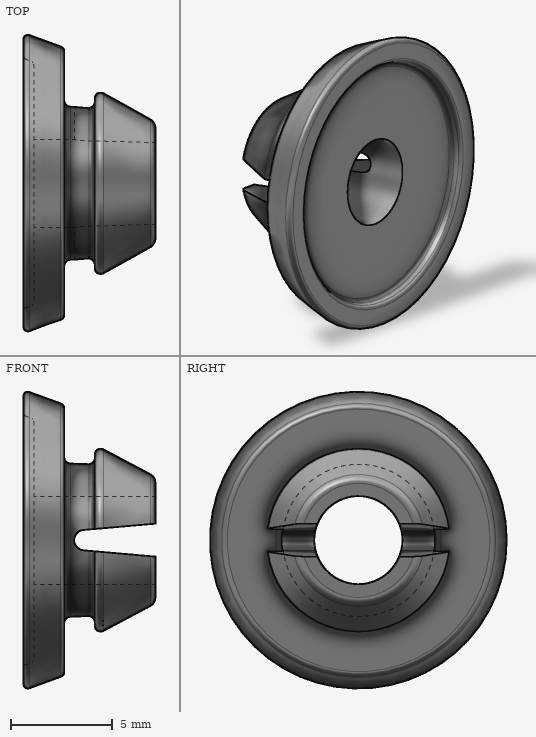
import cadquery as cq
import math

flange_radius = 7.31
flange_thickness = 2.02
draft_angle = math.radians(20)
rim_front_round = 0.22
rim_back_round = 0.29

neck_start_radius = 3.79
neck_end_radius = 3.75
neck_round = 0.29
barb_start = 3.51
barb_radius = 4.5
barb_round = 0.29
barb_angle = math.radians(28)
tip_round = 0.5
total_length = 6.5

bore_radius = 2.16
recess_mouth_radius = 6.15
recess_depth = 0.5
recess_round = 0.2

slot_start = 2.5
slot_end_radius = 0.5
slot_wall_angle = math.radians(5)


def sharp_radius(peak_radius, corner_round, angle):
    """Radius of the unrounded corner of a cone whose rounded edge peaks at peak_radius."""
    round_center = peak_radius - corner_round
    return round_center + corner_round * (1 / math.cos(angle) + math.tan(angle))


def round_circle(body, axial, radius, size):
    """Round the circular edge at the given axial position and radius."""
    reach = 0.001
    box = cq.selectors.BoxSelector(
        (axial - reach, -radius - reach, -radius - reach),
        (axial + reach, radius + reach, radius + reach),
        boundingbox=True,
    )
    edges = [
        edge for edge in body.edges("%CIRCLE").edges(box).vals()
        if abs(edge.radius() - radius) < reach
    ]
    return body.newObject(edges).fillet(size)


def make_body():
    """Revolve the stepped profile about X and round its circular edges."""
    rim_front = sharp_radius(flange_radius, rim_front_round, draft_angle)
    rim_back = rim_front - flange_thickness * math.tan(draft_angle)
    barb_edge = sharp_radius(barb_radius, barb_round, barb_angle)
    tip_radius = barb_edge - (total_length - barb_start) * math.tan(barb_angle)
    recess_floor_radius = recess_mouth_radius - recess_depth * math.tan(draft_angle)

    profile = [
        (recess_depth, bore_radius),
        (recess_depth, recess_floor_radius),
        (0, recess_mouth_radius),
        (0, rim_front),
        (flange_thickness, rim_back),
        (flange_thickness, neck_start_radius),
        (barb_start, neck_end_radius),
        (barb_start, barb_edge),
        (total_length, tip_radius),
        (total_length, bore_radius),
    ]
    body = cq.Workplane("XY").polyline(profile).close().revolve(360, (0, 0), (1, 0))

    rounded_edges = [
        (recess_depth, recess_floor_radius, recess_round),
        (0, recess_mouth_radius, recess_round),
        (0, rim_front, rim_front_round),
        (flange_thickness, rim_back, rim_back_round),
        (flange_thickness, neck_start_radius, neck_round),
        (barb_start, neck_end_radius, neck_round),
        (barb_start, barb_edge, barb_round),
        (total_length, tip_radius, tip_round),
    ]
    for axial, radius, size in rounded_edges:
        body = round_circle(body, axial, radius, size)
    return body


def make_slot():
    """Round-bottomed slot along Y that widens toward the barb tip."""
    center = slot_start + slot_end_radius
    tangent_x = center - slot_end_radius * math.sin(slot_wall_angle)
    tangent_z = slot_end_radius * math.cos(slot_wall_angle)
    mouth_z = tangent_z + (total_length - tangent_x) * math.tan(slot_wall_angle)
    return (
        cq.Workplane("XZ")
        .moveTo(total_length, mouth_z)
        .lineTo(tangent_x, tangent_z)
        .threePointArc((slot_start, 0), (tangent_x, -tangent_z))
        .lineTo(total_length, -mouth_z)
        .close()
        .extrude(flange_radius, both=True)
    )


result = make_body().cut(make_slot())